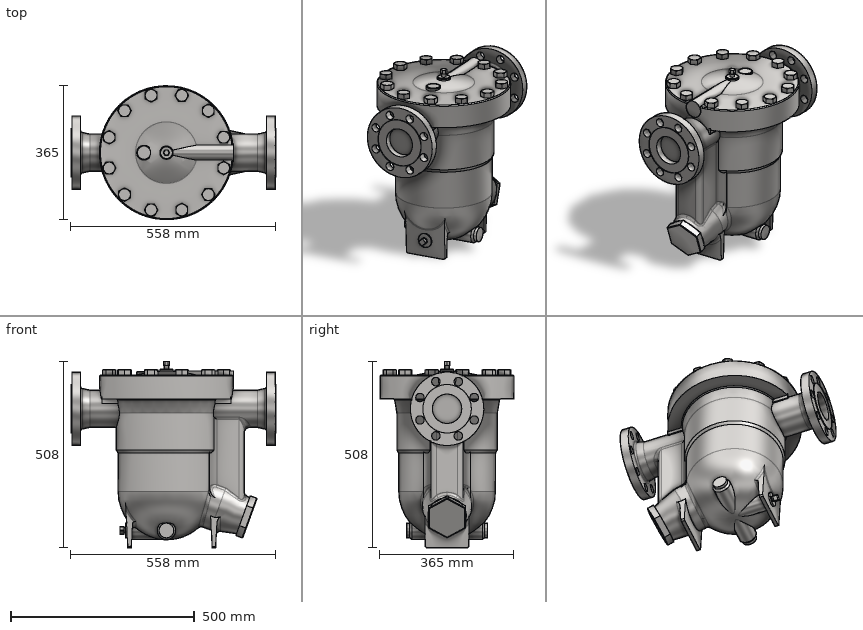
import cadquery as cq
import math


inlet_face_x = -259.5
outlet_face_x = 298.5
pipe_radius = 102.0 / 2
bore_radius = 80.0 / 2
bore_depth = 20.0
raised_face_radius = 132.0 / 2
raised_face_height = 2.0
pipe_flange_radius = 200.0 / 2
pipe_flange_thickness = 24.0
pipe_bolt_hole_diameter = 23.0
pipe_bolt_circle_radius = 160.0 / 2
pipe_bolt_count = 8
hub_radius = 55.5
hub_fillet = 5.0
hub_length = 20.0

body_flange_radius = 365.0 / 2
cover_top_z = 92.0
cover_seam_z = 61.0
body_flange_bottom_z = 27.0
neck_top_z = 24.0
cover_chamfer = 3.0
neck_top_radius = 143.0
neck_lip = body_flange_bottom_z - neck_top_z
upper_radius = 137.0
lower_radius = 132.0
neck_bottom_z = -12.0
step_top_z = -112.0
step_bottom_z = -121.0
dome_center_z = -225.0

flange_trim_x = 176.0
pad_bottom_z = 15.0
pad_half_width = 52.0

cover_dome_radius = 84.0
cover_dome_height = 11.0
duct_radius = 24.0
duct_top_z = 103.5
duct_end_x = 183.0
center_boss_radius = 36.0 / 2
center_boss_top_z = 108.5
center_boss_chamfer = 2.0
stud_radius = 6.5
stud_head_z = 118.0
stud_top_z = 129.0
stud_head_flats = 15.0
side_boss_x = -61.0
side_boss_radius = 40.0 / 2
side_plug_radius = 36.0 / 2
side_boss_top_z = 99.5
side_plug_top_z = 101.5

cover_bolt_count = 12
cover_bolt_circle_radius = 161.5
cover_bolt_flats = 32.0
cover_bolt_height = 14.5
cover_bolt_chamfer = 1.5

channel_half_width = 44.0
channel_end_x = 212.0
channel_bottom_z = -262.0
channel_corner_radius = 15.0
channel_blend_radius = 20.0

strainer_tilt = 20.0
strainer_face_x = 227.5
strainer_face_z = -298.0
strainer_root_radius = 67.0
strainer_tip_radius = 105.05 / 2
strainer_root_start = 165.0
strainer_cone_start = 90.0
cap_height = 20.0
cap_flats = 100.0
cap_chamfer = 2.0

leg_width = 119.0
leg_bottom_z = -379.0
leg_top_z = -258.0
leg_foot_thickness = 10.0
leg_top_thickness = 21.0
leg_corner_chamfer = 4.0
inlet_leg_x = -100.5
outlet_leg_x = 129.3

drain_z = -331.5
drain_radius = 25.0
drain_plug_radius = 40.0 / 2
drain_body_reach = 96.0
drain_plug_start = 102.0
drain_plug_reach = 110.5
drain_pad_radius = 40.0 / 2
drain_pad_x = -111.5
drain_neck_radius = 7.5
drain_head_start_x = -115.5
drain_head_end_x = -127.0
drain_head_side = 16.0
drain_head_diagonal = 20.5

inlet_blend_radius = 8.0
outlet_elbow_radius = 15.0
strainer_body_blend = 12.0
strainer_channel_blend = 10.0
inlet_leg_blend = 6.0
outlet_leg_blend = 10.0

overlap = 5.0
seam_tolerance = 0.001


def rod(radius, start, end, center_a=0.0, center_b=0.0, plane="XY"):
    """Cylinder along the plane normal between two positions on that normal."""
    return (
        cq.Workplane(plane)
        .workplane(offset=start)
        .center(center_a, center_b)
        .circle(radius)
        .extrude(end - start)
    )


def hexagon(flats, height):
    """Hexagonal prism with two corners on the local X axis."""
    return cq.Workplane("XY").polygon(6, flats / math.cos(math.pi / 6)).extrude(height)


def blend(first, second, radius, wanted=lambda point: True):
    """Join two bodies and round the seam edges whose centers are wanted."""
    joined = first.union(second)
    shells = [body.val().Shells()[0] for body in (first, second)]
    seam = []
    for edge in joined.edges().vals():
        sample = cq.Vertex.makeVertex(*edge.positionAt(0.37).toTuple())
        on_seam = all(shell.distance(sample) < seam_tolerance for shell in shells)
        if on_seam and wanted(edge.Center()):
            seam.append(edge)
    return joined.newObject(seam).fillet(radius)


def make_vessel():
    """Cover, body flange, stepped barrel and hemispherical bottom."""
    dome_bottom_z = dome_center_z - lower_radius
    dome_mid = lower_radius * math.sqrt(0.5)
    return (
        cq.Workplane("XZ")
        .moveTo(0, dome_bottom_z)
        .threePointArc((dome_mid, dome_center_z - dome_mid), (lower_radius, dome_center_z))
        .lineTo(lower_radius, step_bottom_z)
        .lineTo(upper_radius, step_top_z)
        .lineTo(upper_radius, neck_bottom_z)
        .lineTo(neck_top_radius, neck_top_z)
        .lineTo(neck_top_radius + neck_lip, body_flange_bottom_z)
        .lineTo(body_flange_radius, body_flange_bottom_z)
        .lineTo(body_flange_radius, cover_top_z - cover_chamfer)
        .lineTo(body_flange_radius - cover_chamfer, cover_top_z)
        .lineTo(0, cover_top_z)
        .close()
        .revolve(360, (0, 0), (0, 1))
    )


def make_vessel_bottom():
    """Part of the vessel below the step."""
    return make_vessel().intersect(rod(upper_radius, leg_bottom_z, step_bottom_z))


def make_flange_pads():
    """Pads under the body flange over both pipes."""
    length = 2 * flange_trim_x
    height = body_flange_bottom_z + overlap - pad_bottom_z
    return (
        cq.Workplane("XY", origin=(0, 0, pad_bottom_z))
        .rect(length, 2 * pad_half_width)
        .extrude(height)
    )


def make_flange_trim(side):
    """Wedge that slopes the lower edge of the body flange inward at one end."""
    outside_x = side * (body_flange_radius + overlap)
    return (
        cq.Workplane("XZ")
        .moveTo(side * body_flange_radius, cover_seam_z)
        .lineTo(side * flange_trim_x, pad_bottom_z)
        .lineTo(outside_x, pad_bottom_z)
        .lineTo(outside_x, cover_seam_z)
        .close()
        .extrude(pipe_flange_radius, both=True)
    )


def make_pipe(face_x):
    """Pipe with tapered hub, drilled flange, raised face and blind bore."""
    direction = math.copysign(1, face_x)
    length = abs(face_x)
    flange_front = length - raised_face_height
    flange_back = length - pipe_flange_thickness - raised_face_height
    hub_end = flange_back - hub_fillet
    corner = hub_fillet * (1 - math.sqrt(0.5))
    pipe = (
        cq.Workplane("XZ")
        .moveTo(0, 0)
        .lineTo(0, pipe_radius)
        .lineTo(hub_end - hub_length, pipe_radius)
        .lineTo(hub_end, hub_radius)
        .threePointArc(
            (flange_back - corner, hub_radius + corner),
            (flange_back, hub_radius + hub_fillet),
        )
        .lineTo(flange_back, pipe_flange_radius)
        .lineTo(flange_front, pipe_flange_radius)
        .lineTo(flange_front, raised_face_radius)
        .lineTo(length, raised_face_radius)
        .lineTo(length, 0)
        .close()
        .revolve(360, (0, 0), (1, 0))
    )
    holes = (
        cq.Workplane("YZ", origin=(flange_back, 0, 0))
        .polarArray(pipe_bolt_circle_radius, 180 / pipe_bolt_count, 360, pipe_bolt_count)
        .circle(pipe_bolt_hole_diameter / 2)
        .extrude(pipe_flange_thickness)
    )
    bore = rod(bore_radius, length - bore_depth, length, plane="YZ")
    pipe = pipe.cut(holes).cut(bore)
    if direction < 0:
        pipe = pipe.mirror("YZ")
    return pipe


def make_channel_block():
    """Plain vertical outlet block, its corners rounded over the full height."""
    return (
        cq.Workplane("XY", origin=(0, 0, channel_bottom_z))
        .rect(2 * channel_end_x, 2 * channel_half_width)
        .extrude(-channel_bottom_z)
        .edges("|Z")
        .fillet(channel_corner_radius)
    )


def make_channel():
    """Outlet block on the +X side with concave blends into the barrel."""
    height = -channel_bottom_z
    blend_y = channel_half_width + channel_blend_radius
    blend_x = math.sqrt((lower_radius + channel_blend_radius) ** 2 - blend_y**2)
    plan = cq.Workplane("XY", origin=(0, 0, channel_bottom_z))
    positive_side = plan.center(channel_end_x / 2, 0).rect(channel_end_x, 2 * blend_y).extrude(height)
    root = plan.center(blend_x / 2, 0).rect(blend_x, 2 * blend_y).extrude(height)
    for side in (-1, 1):
        root = root.cut(rod(channel_blend_radius, channel_bottom_z, 0, blend_x, side * blend_y))
    root_limit = rod(math.hypot(blend_x, channel_half_width), channel_bottom_z, 0)
    return make_channel_block().intersect(positive_side).union(root.intersect(root_limit))


def make_outlet_elbow():
    """Upper channel rounded into the underside of the outlet pipe."""
    hub_start = outlet_face_x - raised_face_height - pipe_flange_thickness - hub_fillet - hub_length
    inner_x = channel_end_x / 2
    block = make_channel_block().intersect(
        cq.Workplane("XY").box(channel_end_x, 2 * pipe_radius, 2 * lower_radius).translate((channel_end_x, 0, 0))
    )
    pipe = rod(pipe_radius, inner_x, hub_start, plane="YZ")
    far_x = channel_end_x - channel_corner_radius
    return blend(block, pipe, outlet_elbow_radius, lambda point: point.x > far_x)


def make_inlet_blend():
    """Plain lengths of barrel and inlet pipe with their rounded seam."""
    barrel = rod(upper_radius, step_top_z, cover_seam_z)
    pipe = rod(pipe_radius, inlet_face_x + pipe_flange_radius / 2, 0, plane="YZ")
    return blend(barrel, pipe, inlet_blend_radius)


def make_strainer():
    """Inclined boss closed by a hexagonal cap."""
    tilt = math.radians(strainer_tilt)
    plane = cq.Plane(
        origin=(strainer_face_x, 0, strainer_face_z),
        xDir=(math.sin(tilt), 0, math.cos(tilt)),
        normal=(math.cos(tilt), 0, -math.sin(tilt)),
    )
    boss = (
        cq.Workplane("XZ")
        .moveTo(0, -strainer_root_start)
        .lineTo(strainer_root_radius, -strainer_root_start)
        .lineTo(strainer_root_radius, -strainer_cone_start)
        .lineTo(strainer_tip_radius, -cap_height)
        .lineTo(0, -cap_height)
        .close()
        .revolve(360, (0, 0), (0, 1))
    )
    cap = hexagon(cap_flats, cap_height).faces(">Z").chamfer(cap_chamfer)
    strainer = boss.union(cap.translate((0, 0, -cap_height)))
    return cq.Workplane(obj=strainer.val().moved(cq.Location(plane)))


def make_leg(center_x):
    """Plate leg, thicker toward the top, with clipped lower corners."""
    return (
        cq.Workplane("XZ")
        .moveTo(center_x - leg_foot_thickness / 2, leg_bottom_z)
        .lineTo(center_x + leg_foot_thickness / 2, leg_bottom_z)
        .lineTo(center_x + leg_top_thickness / 2, leg_top_z)
        .lineTo(center_x - leg_top_thickness / 2, leg_top_z)
        .close()
        .extrude(leg_width / 2, both=True)
        .faces("<Z")
        .edges("|X")
        .chamfer(leg_corner_chamfer)
    )


def make_drains():
    """Two plugged stubs along Y and one toward -X with a square-headed plug."""
    stub = (
        cq.Workplane("XY")
        .lineTo(drain_radius, 0)
        .lineTo(drain_radius, drain_body_reach)
        .lineTo(drain_plug_radius, drain_plug_start)
        .lineTo(drain_plug_radius, drain_plug_reach)
        .lineTo(0, drain_plug_reach)
        .close()
        .revolve(360, (0, 0), (0, 1))
    )
    drains = stub.union(stub.mirror("XZ"))
    drains = drains.union(rod(drain_radius, inlet_leg_x, 0, plane="YZ"))
    drains = drains.union(rod(drain_pad_radius, drain_pad_x, inlet_leg_x, plane="YZ"))
    drains = drains.union(rod(drain_neck_radius, drain_head_start_x, inlet_leg_x, plane="YZ"))
    head = (
        cq.Workplane("YZ", origin=(drain_head_end_x, 0, 0))
        .rect(drain_head_side, drain_head_side)
        .extrude(drain_head_start_x - drain_head_end_x)
        .rotate((0, 0, 0), (1, 0, 0), 45)
    )
    head_limit = rod(drain_head_diagonal / 2, drain_head_end_x, drain_head_start_x, plane="YZ")
    return drains.union(head.intersect(head_limit)).translate((0, 0, drain_z))


def make_cover_fittings():
    """Shallow cover dome, vent duct, center stud and side plug."""
    dome = (
        cq.Workplane("XZ")
        .moveTo(0, cover_top_z - overlap)
        .lineTo(cover_dome_radius, cover_top_z - overlap)
        .lineTo(cover_dome_radius, cover_top_z)
        .radiusArc(
            (0, cover_top_z + cover_dome_height),
            -(cover_dome_radius**2 + cover_dome_height**2) / (2 * cover_dome_height),
        )
        .close()
        .revolve(360, (0, 0), (0, 1))
    )
    duct = rod(duct_radius, 0, duct_end_x, center_b=duct_top_z - duct_radius, plane="YZ")
    boss = rod(center_boss_radius, cover_top_z, center_boss_top_z)
    boss = boss.faces(">Z").chamfer(center_boss_chamfer)
    stud = rod(stud_radius, cover_top_z, stud_head_z)
    head = hexagon(stud_head_flats, stud_top_z - stud_head_z).translate((0, 0, stud_head_z))
    side_boss = rod(side_boss_radius, cover_top_z, side_boss_top_z, center_a=side_boss_x)
    side_plug = rod(side_plug_radius, cover_top_z, side_plug_top_z, center_a=side_boss_x)
    fittings = dome
    for feature in (duct, boss, stud, head, side_boss, side_plug):
        fittings = fittings.union(feature)
    return fittings


def make_cover_bolt(index):
    """Hexagon head of one cover bolt, its top corners chamfered round."""
    pitch = 360 / cover_bolt_count
    corner_radius = cover_bolt_flats / 2 / math.cos(math.pi / 6)
    limit = rod(corner_radius, 0, cover_bolt_height).faces(">Z").chamfer(
        cover_bolt_chamfer, corner_radius - cover_bolt_flats / 2
    )
    head = hexagon(cover_bolt_flats, cover_bolt_height).intersect(limit)
    return head.rotate((0, 0, 0), (0, 0, 1), -pitch / 2).translate(
        (cover_bolt_circle_radius, 0, cover_top_z)
    ).rotate((0, 0, 0), (0, 0, 1), (index + 0.5) * pitch)


def make_strainer_blends():
    """Strainer boss rounded into the vessel bottom, the channel and the outlet leg."""
    strainer = make_strainer()
    bottom = make_vessel_bottom()
    with_bottom = blend(bottom, strainer, strainer_body_blend)
    with_channel = blend(
        make_channel(), strainer, strainer_channel_blend, lambda point: point.x > upper_radius
    )
    with_leg = blend(
        strainer,
        make_leg(outlet_leg_x),
        outlet_leg_blend,
        lambda point: abs(point.y) < 1 and point.x > outlet_leg_x,
    )
    return with_bottom.union(with_channel).union(with_leg)


def make_inlet_leg_blend():
    """Inlet leg rounded into the vessel bottom."""
    bottom = make_vessel_bottom()
    return blend(bottom, make_leg(inlet_leg_x), inlet_leg_blend)


result = make_vessel().union(make_flange_pads())
for end in (-1, 1):
    result = result.cut(make_flange_trim(end))
for end_face in (inlet_face_x, outlet_face_x):
    result = result.union(make_pipe(end_face))
result = result.union(make_inlet_blend())
result = result.union(make_strainer_blends())
result = result.union(make_outlet_elbow())
result = result.union(make_inlet_leg_blend())
result = result.union(make_drains())
result = result.union(make_cover_fittings())
for bolt in range(cover_bolt_count):
    result = result.union(make_cover_bolt(bolt))